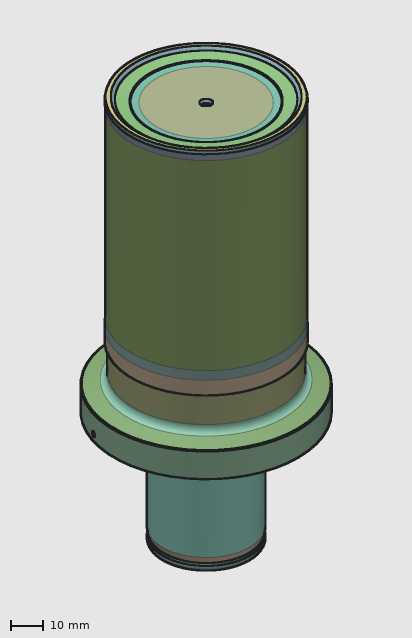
import cadquery as cq
import math

total_height = 163.0
flange_bottom = 46.8
flange_edge = 57.5
body_bottom = 72.9
lower_band_top = 78.7
relief_bottom = 82.2
relief_top = 159.4
upper_band_bottom = 161.9
fillet_bottom = 59.0
fillet_top = 62.0

shank_radius = 37.0 / 2
flange_radius = 78.0 / 2
neck_radius = 30.8
fillet_outer_radius = 33.0
body_radius = 31.6
relief_radius = 62.9 / 2
edge_chamfer = 0.3

taper_top = 5.2
waist_height = 3.0
waist_radius = 18.1
lip_top = 2.0
lip_flare_radius = 18.3
lip_height = 1.0
lip_end_radius = 18.0

rim_radius = 29.7
rim_foot_radius = 28.4
rim_foot_depth = 1.0
dish_step_radius = 23.8
dish_step_depth = 1.6
dish_step_drop = 0.2
dish_step_width = 0.3
floor_radius = 20.9
floor_depth = 2.1

center_hole_radius = 1.3
center_hole_depth = 1.6
center_tip_depth = 2.3
countersink_radius = 2.1
countersink_depth = 1.0
pin_hole_radius = 1.0
pin_hole_height = 49.9
pin_hole_depth = 2.5


def below_top(depth):
    return total_height - depth


def make_turned_body():
    """Revolve the half section, drawn as radius and height, about the Z axis."""
    fillet_width = fillet_outer_radius - neck_radius
    fillet_height = fillet_top - fillet_bottom
    fillet_middle = (
        fillet_outer_radius - fillet_width * math.cos(math.pi / 4),
        fillet_top - fillet_height * math.sin(math.pi / 4),
    )
    section = (
        cq.Workplane("XZ")
        .moveTo(0, 0)
        .lineTo(lip_end_radius, 0)
        .threePointArc((shank_radius, lip_height), (lip_flare_radius, lip_top))
        .lineTo(waist_radius, waist_height)
        .lineTo(shank_radius, taper_top)
        .lineTo(shank_radius, flange_bottom)
        .lineTo(flange_radius - edge_chamfer, flange_bottom)
        .lineTo(flange_radius, flange_bottom + edge_chamfer)
        .lineTo(flange_radius, flange_edge - edge_chamfer)
        .lineTo(flange_radius - edge_chamfer, flange_edge)
        .lineTo(fillet_outer_radius, fillet_bottom)
        .threePointArc(fillet_middle, (neck_radius, fillet_top))
        .lineTo(neck_radius, body_bottom)
        .lineTo(body_radius - edge_chamfer, body_bottom)
        .lineTo(body_radius, body_bottom + edge_chamfer)
        .lineTo(body_radius, lower_band_top)
        .lineTo(relief_radius, relief_bottom)
        .lineTo(relief_radius, relief_top)
        .lineTo(body_radius, upper_band_bottom)
        .lineTo(body_radius - edge_chamfer, total_height)
        .lineTo(rim_radius, total_height)
        .lineTo(rim_foot_radius, below_top(rim_foot_depth))
        .lineTo(dish_step_radius, below_top(dish_step_depth))
        .lineTo(dish_step_radius - dish_step_width, below_top(dish_step_depth + dish_step_drop))
        .lineTo(floor_radius, below_top(floor_depth))
        .lineTo(0, below_top(floor_depth))
        .close()
    )
    return section.revolve(360, (0, 0, 0), (0, 1, 0))


def make_center_hole():
    """Countersunk blind hole with a conical tip in the middle of the dish floor."""
    floor = below_top(floor_depth)
    section = (
        cq.Workplane("XZ")
        .moveTo(0, floor)
        .lineTo(countersink_radius, floor)
        .lineTo(center_hole_radius, floor - countersink_depth)
        .lineTo(center_hole_radius, floor - center_hole_depth)
        .lineTo(0, floor - center_tip_depth)
        .close()
    )
    return section.revolve(360, (0, 0, 0), (0, 1, 0))


def make_pin_hole():
    """Blind radial hole in the -Y side of the flange."""
    return (
        cq.Workplane("XZ", origin=(0, -flange_radius, pin_hole_height))
        .circle(pin_hole_radius)
        .extrude(-pin_hole_depth)
    )


result = make_turned_body().cut(make_center_hole()).cut(make_pin_hole())